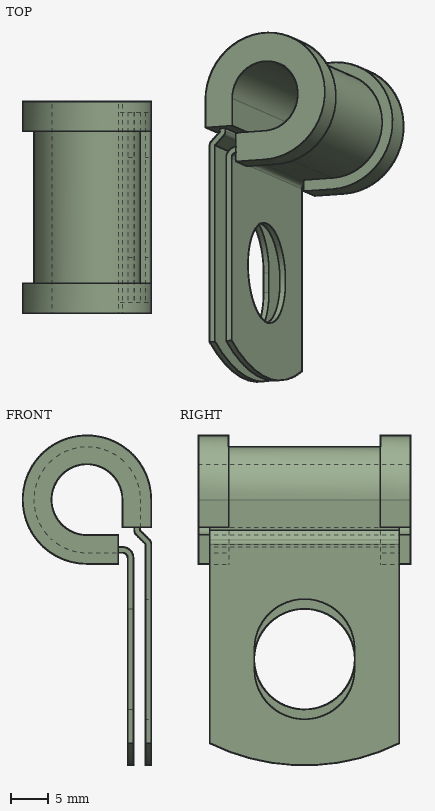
import cadquery as cq
import math


outer_radius = 8.65
bore_radius = 4.75
cushion_length = 28.45
flange_width = 4.05
flange_height = 1.5
upper_end_drop = 3.7
lower_end_reach = 4.2

strap_thickness = 0.8
strap_radius = outer_radius - flange_height
strap_inner_radius = strap_radius - strap_thickness

total_height = 44.3
tab_width = 25.45
tab_corner_rise = 2.95
hole_radius = 6.75
slot_travel = 2.65
hole_drop = 21.4
tab_bottom = outer_radius - total_height

jog_start_drop = 0.4
tab_gap = 1.6
elbow_inner_radius = 0.7
elbow_outer_radius = elbow_inner_radius + strap_thickness

rear_outer_x = outer_radius
rear_inner_x = rear_outer_x - strap_thickness
front_outer_x = rear_inner_x - tab_gap
front_inner_x = front_outer_x - strap_thickness


def extrude_along_y(profile, length):
    """Extrude an XZ profile symmetrically about the XZ plane."""
    return profile.extrude(length / 2, both=True)


def loop_ring(radius, length):
    """Open loop with a three-quarter arc and two straight legs."""
    diagonal = math.sqrt(0.5)
    profile = (
        cq.Workplane("XZ")
        .moveTo(radius, -upper_end_drop)
        .lineTo(radius, 0)
        .threePointArc((-radius * diagonal, radius * diagonal), (0, -radius))
        .lineTo(lower_end_reach, -radius)
        .lineTo(lower_end_reach, -bore_radius)
        .lineTo(0, -bore_radius)
        .threePointArc((-bore_radius * diagonal, bore_radius * diagonal), (bore_radius, 0))
        .lineTo(bore_radius, -upper_end_drop)
        .close()
    )
    return extrude_along_y(profile, length)


def flange(side):
    """Raised cushion rim at one end of the loop."""
    center_y = side * (cushion_length - flange_width) / 2
    return loop_ring(outer_radius, flange_width).translate((0, center_y, 0))


def rear_tab():
    """Tab that jogs outward at 45 degrees below the upper cushion end."""
    jog_top = -upper_end_drop - jog_start_drop
    offset = strap_thickness * math.sqrt(0.5)
    bend_round = strap_thickness * math.sin(math.radians(22.5))
    bend_reach = strap_thickness * math.cos(math.radians(22.5))
    jog_bottom = jog_top - (rear_inner_x - strap_radius) - strap_thickness * math.sqrt(2)
    profile = (
        cq.Workplane("XZ")
        .moveTo(strap_radius, -upper_end_drop)
        .lineTo(strap_radius, jog_top)
        .lineTo(rear_inner_x + offset, jog_bottom + offset)
        .threePointArc((rear_inner_x + bend_reach, jog_bottom + bend_round), (rear_outer_x, jog_bottom))
        .lineTo(rear_outer_x, tab_bottom)
        .lineTo(rear_inner_x, tab_bottom)
        .lineTo(rear_inner_x, jog_bottom)
        .lineTo(strap_radius - offset, jog_top - offset)
        .threePointArc((strap_radius - bend_reach, jog_top - bend_round), (strap_inner_radius, jog_top))
        .lineTo(strap_inner_radius, -upper_end_drop)
        .close()
    )
    return extrude_along_y(profile, tab_width)


def front_tab():
    """Tab that turns down through a rounded elbow from the lower cushion end."""
    elbow_x = front_outer_x - elbow_outer_radius
    elbow_z = -strap_inner_radius - elbow_outer_radius
    profile = (
        cq.Workplane("XZ")
        .moveTo(lower_end_reach, -strap_inner_radius)
        .lineTo(elbow_x, -strap_inner_radius)
        .tangentArcPoint((front_outer_x, elbow_z), relative=False)
        .lineTo(front_outer_x, tab_bottom)
        .lineTo(front_inner_x, tab_bottom)
        .lineTo(front_inner_x, elbow_z)
        .radiusArc((elbow_x, -strap_radius), -elbow_inner_radius)
        .lineTo(lower_end_reach, -strap_radius)
        .close()
    )
    return extrude_along_y(profile, tab_width)


def tab_outline():
    """Solid bounding both tabs, with the arched bottom edge."""
    half_width = tab_width / 2
    corner_z = tab_bottom + tab_corner_rise
    return (
        cq.Workplane("YZ")
        .moveTo(-half_width, 0)
        .lineTo(-half_width, corner_z)
        .threePointArc((0, tab_bottom), (half_width, corner_z))
        .lineTo(half_width, 0)
        .close()
        .extrude(outer_radius)
    )


def round_hole():
    """Cutter for the round hole in the front tab."""
    return (
        cq.Workplane("YZ")
        .center(0, -hole_drop)
        .circle(hole_radius)
        .extrude(outer_radius)
    )


def vertical_slot():
    """Cutter for the vertical slot in the rear tab, as wide as the round hole."""
    return (
        cq.Workplane("YZ")
        .center(0, -hole_drop)
        .slot2D(slot_travel + 2 * hole_radius, 2 * hole_radius, 90)
        .extrude(outer_radius)
    )


slotted_tab = rear_tab().intersect(tab_outline()).cut(vertical_slot())
drilled_tab = front_tab().intersect(tab_outline()).cut(round_hole())

result = loop_ring(strap_radius, cushion_length)
for side in (-1, 1):
    result = result.union(flange(side))
result = result.union(slotted_tab).union(drilled_tab)